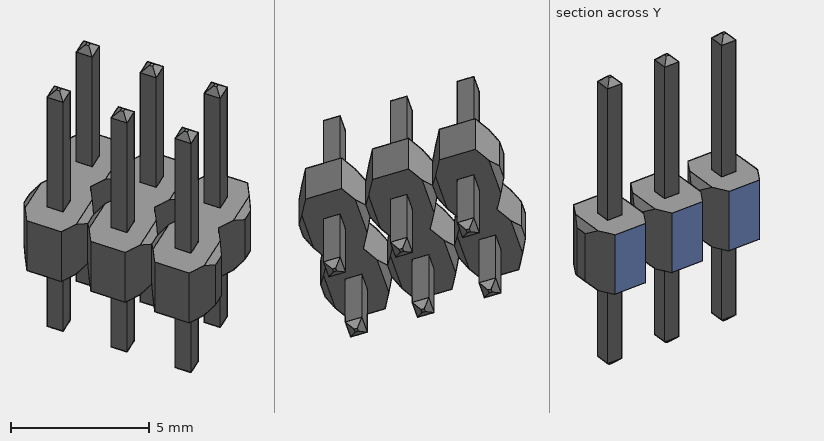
import cadquery as cq
import math

pitch = 2.54
columns = 3
rows = 2

housing_height = pitch
side_flat = 0.508
slant_angle = 60
slant_depth = (pitch - side_flat) / 2
slant_width = slant_depth / math.tan(math.radians(slant_angle))
end_flat = pitch - 2 * slant_width
side_chamfer = 0.254

pin_width = 0.635
pin_length = 12.192
pin_below_housing = 3.81
tip_chamfer = 0.254

pin_positions = [
    ((column - (columns - 1) / 2) * pitch, (row - (rows - 1) / 2) * pitch)
    for column in range(columns)
    for row in range(rows)
]


def make_cell():
    """One housing cell, with its top and bottom edges bevelled on the X sides."""
    half = pitch / 2
    outline = [
        (half, -side_flat / 2),
        (half, side_flat / 2),
        (end_flat / 2, half),
        (-end_flat / 2, half),
        (-half, side_flat / 2),
        (-half, -side_flat / 2),
        (-end_flat / 2, -half),
        (end_flat / 2, -half),
    ]
    prism = cq.Workplane("XY").polyline(outline).close().extrude(housing_height)
    bevelled_block = (
        cq.Workplane("XY")
        .box(pitch, pitch, housing_height, centered=(True, True, False))
        .edges("|Y")
        .chamfer(side_chamfer)
    )
    return prism.intersect(bevelled_block)


def make_pin():
    """One pin on the Z axis, passing right through the housing."""
    return (
        cq.Workplane("XY")
        .workplane(offset=-pin_below_housing)
        .rect(pin_width, pin_width)
        .extrude(pin_length)
        .faces("<Z or >Z")
        .chamfer(tip_chamfer)
    )


pin_cell = make_cell().union(make_pin())

result = cq.Workplane("XY")
for x, y in pin_positions:
    result = result.union(pin_cell.translate((x, y, 0)))
result = result.clean()